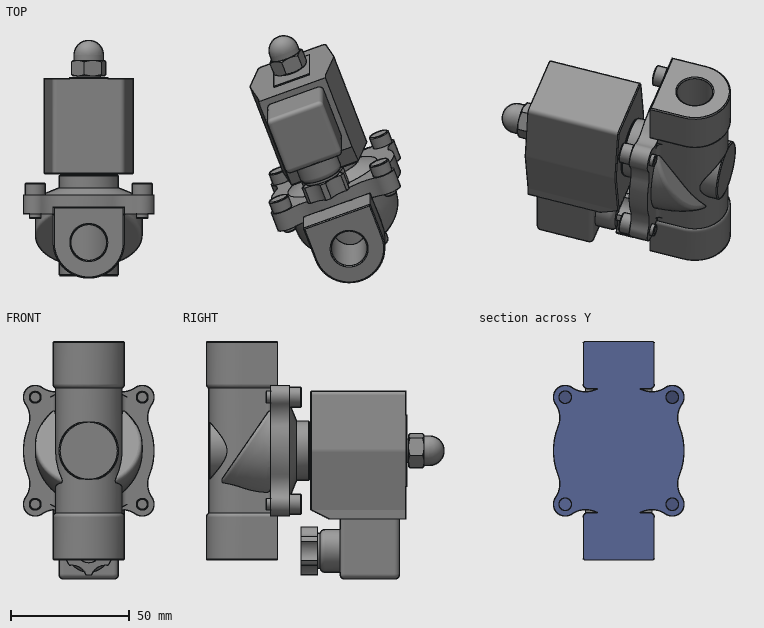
import cadquery as cq
import math


PIPE_LENGTH = 92.0
PIPE_RADIUS = 14.0
COLLAR_RADIUS = 15.0
COLLAR_LENGTH = 20.0
COLLAR_ROUND = 2.0
PORT_DIAMETER = 15.0
EDGE_CHAMFER = 0.5
BOSS_DIAMETER = 25.0

FLANGE_START = 12.0
FLANGE_END = 20.0
FLANGE_RADIUS = 27.5
LOBE_OFFSET = 22.5
LOBE_RADIUS = 5.0
HOLLOW_RADIUS = 10.0
PIPE_FILLET = 2.0
PIPE_FILLET_HALF_LENGTH = 23.7
PIPE_FILLET_END_SLOPE = 1.1

CHAMBER_RADIUS = 22.5
CHAMBER_HINGE_Z = 17.8
CHAMBER_SWING = 34.5
CHAMBER_ROUND = 1.5

CONE_RADIUS = 20.0
CONE_END = 23.0
BONNET_DIAMETER = 25.0
BONNET_END = 28.4
SPACER_RADIUS = 12.0

COIL_START = 28.7
COIL_END = 68.9
COIL_TOP = 25.0
COIL_HALF_WIDTH = 18.8
COIL_NARROW_HALF_WIDTH = 15.0
COIL_RIDGE_HALF_HEIGHT = 0.35
COIL_ROUND = 2.0
COIL_BASE_HEIGHT = 3.8
COIL_BASE_SLOPE_LENGTH = 8.1
PLATE_WIDTH = 16.0
PLATE_HEIGHT = 30.0
PLATE_THICKNESS = 0.5
STEM_DIAMETER = 10.0

PLUG_SIZE = 25.0
PLUG_START = 41.2
PLUG_BOTTOM = -54.0
PLUG_ROUND = 2.0
GLAND_Z = -42.1
GLAND_DIAMETER = 18.0
GLAND_START = 32.8
GLAND_ROUND = 2.0
GLAND_NECK_DIAMETER = 15.0
GRIP_START = 24.7
GRIP_END = 31.8
GRIP_RADIUS = 10.1
GRIP_FLUTES = 6
FLUTE_RADIUS = 6.3
FLUTE_BOTTOM_RADIUS = 7.9
CABLE_HOLE_DIAMETER = 10.0

SCREW_HEAD_DIAMETER = 8.5
SCREW_HEAD_HEIGHT = 5.0
SCREW_DIAMETER = 5.0
SCREW_LENGTH = 10.0
SCREW_CHAMFER = 0.4

NUT_START = 70.0
NUT_HEIGHT = 15.0
NUT_HEX_HEIGHT = 6.5
NUT_WIDTH = 13.0
NUT_TURN = 45.0
NUT_CHAMFER_ANGLE = 30.0
NUT_DOME_DIAMETER = 12.5

PIPE_END = PIPE_LENGTH / 2
COIL_BASE_BOTTOM = -COIL_TOP - COIL_BASE_HEIGHT
SCREW_PLACES = [(x, z) for x in (-LOBE_OFFSET, LOBE_OFFSET) for z in (-LOBE_OFFSET, LOBE_OFFSET)]


def facing_y(y):
    """Sketch plane at height y: local axes are X and Z, and extrusion runs toward -Y."""
    return cq.Workplane("XZ", origin=(0, y, 0))


def cylinder_y(radius, y_start, y_end, x=0, z=0):
    return facing_y(y_end).center(x, z).circle(radius).extrude(y_end - y_start)


def revolved_y(outline):
    """Turn a closed (radius, y) outline around the solenoid axis."""
    return outline.revolve(360, (0, 0, 0), (0, 1, 0))


def arched_bar(radius, back_y, z_start, z_end):
    """Bar along Z: half round toward -Y, with flat sides running back to back_y."""
    return (
        cq.Workplane("XY", origin=(0, 0, z_start))
        .moveTo(-radius, back_y)
        .lineTo(-radius, 0)
        .threePointArc((0, -radius), (radius, 0))
        .lineTo(radius, back_y)
        .close()
        .extrude(z_end - z_start)
    )


def make_pipe():
    pipe = arched_bar(PIPE_RADIUS, FLANGE_START, -PIPE_END, PIPE_END)
    collar = (
        arched_bar(COLLAR_RADIUS, COLLAR_RADIUS, PIPE_END - COLLAR_LENGTH, PIPE_END)
        .faces(">Z").edges().chamfer(EDGE_CHAMFER)
        .faces("<Z").edges().fillet(COLLAR_ROUND)
    )
    boss = cylinder_y(BOSS_DIAMETER / 2, -PIPE_RADIUS, FLANGE_START).faces("<Y").chamfer(EDGE_CHAMFER)
    return pipe.union(collar).union(collar.mirror("XY")).union(boss)


def make_ports():
    """Blind bores from both pipe ends, each stopping at the round wall below the solenoid."""
    bore = cq.Workplane("XY").circle(PORT_DIAMETER / 2).extrude(PIPE_END)
    mouth_radius = PORT_DIAMETER / 2 + EDGE_CHAMFER
    mouth = cq.Workplane("XY", origin=(0, 0, PIPE_END)).circle(mouth_radius)
    bore = bore.union(mouth.extrude(-EDGE_CHAMFER, taper=45))
    bore = bore.cut(cylinder_y(BOSS_DIAMETER / 2, -PIPE_RADIUS, FLANGE_START))
    return bore.union(bore.mirror("XY"))


def hollow_centre():
    """Centre of the hollow arc that touches the flange circle and the lobe in the +X +Z corner."""
    lobe_distance = math.hypot(LOBE_OFFSET, LOBE_OFFSET)
    from_axis = FLANGE_RADIUS + HOLLOW_RADIUS
    from_lobe = LOBE_RADIUS + HOLLOW_RADIUS
    cosine = (from_axis**2 + lobe_distance**2 - from_lobe**2) / (2 * from_axis * lobe_distance)
    angle = math.pi / 4 - math.acos(cosine)
    return from_axis * math.cos(angle), from_axis * math.sin(angle)


def make_flange():
    hollow_x, hollow_z = hollow_centre()
    to_axis = FLANGE_RADIUS / (FLANGE_RADIUS + HOLLOW_RADIUS)
    to_lobe = LOBE_RADIUS / (LOBE_RADIUS + HOLLOW_RADIUS)
    side = (hollow_x * to_axis, hollow_z * to_axis)
    lobe_side = (
        LOBE_OFFSET + (hollow_x - LOBE_OFFSET) * to_lobe,
        LOBE_OFFSET + (hollow_z - LOBE_OFFSET) * to_lobe,
    )
    hollow_middle_angle = math.atan2(
        (side[1] + lobe_side[1]) / 2 - hollow_z, (side[0] + lobe_side[0]) / 2 - hollow_x
    )
    hollow_middle = (
        hollow_x + HOLLOW_RADIUS * math.cos(hollow_middle_angle),
        hollow_z + HOLLOW_RADIUS * math.sin(hollow_middle_angle),
    )
    lobe_tip = LOBE_OFFSET + LOBE_RADIUS / math.sqrt(2)

    def turned(point, quarter):
        x, z = point
        for _ in range(quarter):
            x, z = -z, x
        return x, z

    def swapped(point):
        return point[1], point[0]

    outline = facing_y(FLANGE_END).moveTo(*side)
    for quarter in range(4):
        outline = (
            outline.threePointArc(turned(hollow_middle, quarter), turned(lobe_side, quarter))
            .threePointArc(turned((lobe_tip, lobe_tip), quarter), turned(swapped(lobe_side), quarter))
            .threePointArc(turned(swapped(hollow_middle), quarter), turned(swapped(side), quarter))
            .threePointArc(turned((0, FLANGE_RADIUS), quarter), turned(side, quarter + 1))
        )
    return outline.close().extrude(FLANGE_END - FLANGE_START)


def make_pipe_fillets():
    """Hollow fillets between the flange and the flat pipe sides, with slanted ends."""
    outer_x = PIPE_RADIUS + PIPE_FILLET
    inner_y = FLANGE_START - PIPE_FILLET
    bend = PIPE_FILLET * (1 - math.sqrt(0.5))
    fillet = (
        cq.Workplane("XY", origin=(0, 0, -PIPE_FILLET_HALF_LENGTH))
        .moveTo(PIPE_RADIUS, FLANGE_START)
        .lineTo(outer_x, FLANGE_START)
        .threePointArc((PIPE_RADIUS + bend, FLANGE_START - bend), (PIPE_RADIUS, inner_y))
        .close()
        .extrude(2 * PIPE_FILLET_HALF_LENGTH)
    )
    short_end = PIPE_FILLET_HALF_LENGTH - PIPE_FILLET_END_SLOPE
    ends = (
        facing_y(FLANGE_START)
        .polyline([
            (PIPE_RADIUS, -PIPE_FILLET_HALF_LENGTH),
            (outer_x, -short_end),
            (outer_x, short_end),
            (PIPE_RADIUS, PIPE_FILLET_HALF_LENGTH),
        ])
        .close()
        .extrude(PIPE_FILLET)
    )
    fillet = fillet.intersect(ends)
    return fillet.union(fillet.mirror("YZ"))


def make_chamber():
    """Bowl under the flange: its round outline swings about a hinge line, and the far rim is rounded."""
    hinge_half_width = math.sqrt(CHAMBER_RADIUS**2 - CHAMBER_HINGE_Z**2)
    bowl = (
        facing_y(FLANGE_START)
        .moveTo(-hinge_half_width, CHAMBER_HINGE_Z)
        .threePointArc((0, -CHAMBER_RADIUS), (hinge_half_width, CHAMBER_HINGE_Z))
        .close()
        .revolve(CHAMBER_SWING, (1, CHAMBER_HINGE_Z, 0), (-1, CHAMBER_HINGE_Z, 0))
    )
    swing = math.radians(CHAMBER_SWING)
    sloping_face = cq.Vector(0, -math.cos(swing), math.sin(swing))
    rim = bowl.faces(cq.selectors.DirectionMinMaxSelector(sloping_face)).edges("%CIRCLE")
    return rim.fillet(CHAMBER_ROUND)


def make_bonnet():
    cone = revolved_y(
        cq.Workplane("XY").polyline([
            (0, FLANGE_END),
            (CONE_RADIUS, FLANGE_END),
            (BONNET_DIAMETER / 2, CONE_END),
            (0, CONE_END),
        ]).close()
    )
    neck = cylinder_y(BONNET_DIAMETER / 2, CONE_END, BONNET_END).faces(">Y").chamfer(EDGE_CHAMFER)
    spacer = cylinder_y(SPACER_RADIUS, BONNET_END, COIL_START)
    return cone.union(neck).union(spacer)


def make_coil():
    length = COIL_END - COIL_START
    winding = (
        facing_y(COIL_END)
        .polyline([
            (-COIL_NARROW_HALF_WIDTH, COIL_TOP),
            (-COIL_HALF_WIDTH, COIL_RIDGE_HALF_HEIGHT),
            (-COIL_HALF_WIDTH, -COIL_RIDGE_HALF_HEIGHT),
            (-COIL_NARROW_HALF_WIDTH, -COIL_TOP),
            (COIL_NARROW_HALF_WIDTH, -COIL_TOP),
            (COIL_HALF_WIDTH, -COIL_RIDGE_HALF_HEIGHT),
            (COIL_HALF_WIDTH, COIL_RIDGE_HALF_HEIGHT),
            (COIL_NARROW_HALF_WIDTH, COIL_TOP),
        ])
        .close()
        .extrude(length)
        .faces(">Z").edges("|Y").fillet(COIL_ROUND)
        .faces("<Y").chamfer(EDGE_CHAMFER)
    )
    base = (
        cq.Workplane("YZ", origin=(-COIL_NARROW_HALF_WIDTH, 0, 0))
        .polyline([
            (COIL_START + EDGE_CHAMFER, -COIL_TOP),
            (COIL_START + COIL_BASE_SLOPE_LENGTH, COIL_BASE_BOTTOM),
            (COIL_END, COIL_BASE_BOTTOM),
            (COIL_END, -COIL_TOP),
        ])
        .close()
        .extrude(2 * COIL_NARROW_HALF_WIDTH)
    )
    plate_end = COIL_END + PLATE_THICKNESS
    plate = facing_y(plate_end).rect(PLATE_WIDTH, PLATE_HEIGHT).extrude(PLATE_THICKNESS)
    stem = cylinder_y(STEM_DIAMETER / 2, plate_end, NUT_START)
    return winding.union(base).union(plate).union(stem)


def make_plug():
    return (
        cq.Workplane("XY", origin=(0, PLUG_START + PLUG_SIZE / 2, PLUG_BOTTOM))
        .rect(PLUG_SIZE, PLUG_SIZE)
        .extrude(COIL_BASE_BOTTOM - PLUG_BOTTOM)
        .edges("|Z or <Z").fillet(PLUG_ROUND)
    )


def make_gland():
    barrel = cylinder_y(GLAND_DIAMETER / 2, GLAND_START, PLUG_START, z=GLAND_Z)
    barrel = barrel.faces("<Y").edges().fillet(GLAND_ROUND)
    neck = cylinder_y(GLAND_NECK_DIAMETER / 2, GRIP_END, PLUG_START, z=GLAND_Z)
    grip = cylinder_y(GRIP_RADIUS, GRIP_START, GRIP_END, z=GLAND_Z)
    flutes = (
        facing_y(GRIP_END)
        .center(0, GLAND_Z)
        .polarArray(FLUTE_BOTTOM_RADIUS + FLUTE_RADIUS, 0, 360, GRIP_FLUTES)
        .circle(FLUTE_RADIUS)
        .extrude(GRIP_END - GRIP_START)
    )
    cable_hole = cylinder_y(CABLE_HOLE_DIAMETER / 2, GRIP_START, GRIP_END, z=GLAND_Z)
    return barrel.union(neck).union(grip.cut(flutes).cut(cable_hole))


def make_valve():
    valve = make_pipe().union(make_flange()).union(make_pipe_fillets()).union(make_chamber())
    valve = valve.cut(make_ports())
    valve = valve.union(make_bonnet()).union(make_coil()).union(make_plug()).union(make_gland())
    for x, z in SCREW_PLACES:
        valve = valve.cut(cylinder_y(SCREW_DIAMETER / 2, FLANGE_START, FLANGE_END, x, z))
    return valve


def make_screw(x, z):
    head_end = FLANGE_END + SCREW_HEAD_HEIGHT
    head = cylinder_y(SCREW_HEAD_DIAMETER / 2, FLANGE_END, head_end, x, z).faces(">Y").chamfer(SCREW_CHAMFER)
    tip = FLANGE_END - SCREW_LENGTH
    shank = cylinder_y(SCREW_DIAMETER / 2, tip, FLANGE_END, x, z).faces("<Y").chamfer(SCREW_CHAMFER)
    return head.union(shank)


def make_cap_nut():
    corner_radius = NUT_WIDTH / math.sqrt(3)
    hex_end = NUT_START + NUT_HEX_HEIGHT
    hexagon = (
        facing_y(hex_end)
        .transformed(rotate=(0, 0, NUT_TURN))
        .polygon(6, 2 * corner_radius)
        .extrude(NUT_HEX_HEIGHT)
    )
    face_radius = NUT_WIDTH / 2
    chamfer_height = (corner_radius - face_radius) * math.tan(math.radians(NUT_CHAMFER_ANGLE))
    turned_blank = revolved_y(
        cq.Workplane("XY").polyline([
            (0, NUT_START),
            (face_radius, NUT_START),
            (corner_radius, NUT_START + chamfer_height),
            (corner_radius, hex_end - chamfer_height),
            (face_radius, hex_end),
            (0, hex_end),
        ]).close()
    )
    dome_radius = NUT_DOME_DIAMETER / 2
    nut_end = NUT_START + NUT_HEIGHT
    dome = cylinder_y(dome_radius, hex_end, nut_end - dome_radius).union(
        cq.Workplane("XY", origin=(0, nut_end - dome_radius, 0)).sphere(dome_radius)
    )
    return hexagon.intersect(turned_blank).union(dome)


valve = make_valve()
screws = [make_screw(x, z) for x, z in SCREW_PLACES]
cap_nut = make_cap_nut()

result = cq.Compound.makeCompound([valve.val(), *[screw.val() for screw in screws], cap_nut.val()])